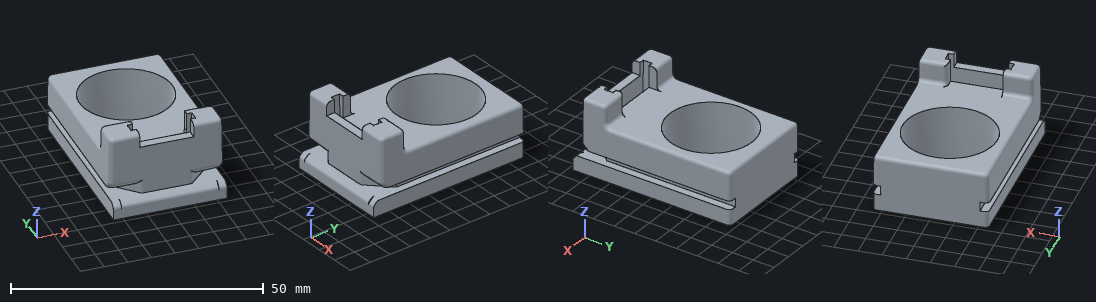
import cadquery as cq
import math

LENGTH = 38.0
HEIGHT = 17.4
ROUND = 1.0
CHAMFER = 1.0
REACH = 1.9
TOLERANCE = 0.05
WALL_DRAFT = 1.0

BASE_WIDTH = 24.05
BASE_HEIGHT = 3.7

BODY_WIDTH = 24.25
BODY_HALF_WIDTH = BODY_WIDTH / 2
BODY_FRONT = 2.0
BLOCK_DEPTH = 6.0
BLOCK_REAR = BODY_FRONT + BLOCK_DEPTH
SLAB_TOP = 12.4

SLOT_HEIGHT = 2.0
SLOT_TOP = BASE_HEIGHT + SLOT_HEIGHT
SLOT_DRAFT = 1.5
NECK_HALF_WIDTH = 10.3
STEM_HALF_WIDTH = 5.3

NOTCH_HALF_WIDTH = 5.7
NOTCH_DEPTH = 3.0
NOTCH_FLOOR = HEIGHT - NOTCH_DEPTH
WALL_THICKNESS = 2.0
GROOVE_FRONT = BODY_FRONT + WALL_THICKNESS
GROOVE_GAP = 2.1
GROOVE_REAR = GROOVE_FRONT + GROOVE_GAP
GROOVE_WIDTH = 13.6
GROOVE_FLOOR = SLOT_TOP

BORE_RADIUS = 9.8
BORE_CENTER_Y = 25.0


def box(x_range, y_range, z_range):
    corner = (x_range[0], y_range[0], z_range[0])
    size = [high - low for low, high in (x_range, y_range, z_range)]
    return cq.Workplane("XY").box(*size, centered=False).translate(corner)


def tilted(solid, x, z, angle):
    """Turn a solid about a line along Y through (x, z)."""
    return solid.rotate((x, 0, z), (x, 1, z), angle)


def mirrored_pair(solid):
    return solid.union(solid.mirror("YZ"))


def near(a, b):
    return abs(a - b) < TOLERANCE


def make_base():
    """Plate with a chamfered, rounded front lip; its flanges fall away beside the neck."""
    half = BASE_WIDTH / 2
    stock = box((0, half + REACH), (0, LENGTH), (-REACH, BASE_HEIGHT))
    stock = stock.edges("<Y and >Z").chamfer(CHAMFER)
    lip_edges = [e for e in stock.edges("|X").vals() if e.Center().y < 2 * CHAMFER and e.Center().z > 0]
    stock = stock.newObject(lip_edges).fillet(ROUND)

    core = stock.intersect(box((0, NECK_HALF_WIDTH), (0, LENGTH), (-REACH, BASE_HEIGHT)))
    flange = tilted(stock, NECK_HALF_WIDTH, BASE_HEIGHT, SLOT_DRAFT)
    flange = flange.intersect(box((NECK_HALF_WIDTH, half), (0, LENGTH), (-REACH, BASE_HEIGHT)))

    outline = box((-half, half), (0, LENGTH), (0, BASE_HEIGHT)).edges("|Z and >Y").fillet(ROUND)
    return mirrored_pair(core.union(flange)).intersect(outline)


def make_neck():
    """Web joining base and body, tapering at 45 degrees to a narrow stem at the front."""
    taper_end = BODY_FRONT + NECK_HALF_WIDTH - STEM_HALF_WIDTH
    right_side = [
        (STEM_HALF_WIDTH, BODY_FRONT),
        (NECK_HALF_WIDTH, taper_end),
        (NECK_HALF_WIDTH, LENGTH),
    ]
    left_side = [(-x, y) for x, y in reversed(right_side)]
    neck = cq.Workplane("XY").polyline(right_side + left_side).close().extrude(SLOT_TOP + REACH)
    return neck.edges("|Z and <Y").fillet(ROUND)


def fillet_foot(solid):
    """Fillet the inside corner where the rear of the block meets the slab."""
    foot = [
        e for e in solid.edges("|X").vals()
        if near(e.Center().y, BLOCK_REAR) and near(e.Center().z, SLAB_TOP)
    ]
    return solid.newObject(foot).fillet(ROUND)


def make_body():
    bottom = SLOT_TOP - REACH
    side_profile = [
        (BODY_FRONT, bottom),
        (BODY_FRONT, HEIGHT),
        (BLOCK_REAR, HEIGHT),
        (BLOCK_REAR, SLAB_TOP),
        (LENGTH, SLAB_TOP),
        (LENGTH, bottom),
    ]
    body = cq.Workplane("YZ").polyline(side_profile).close().extrude(BODY_HALF_WIDTH + REACH, both=True)

    lean = math.tan(math.radians(WALL_DRAFT))
    low_half = BODY_HALF_WIDTH + (SLOT_TOP - bottom) * lean
    high_half = BODY_HALF_WIDTH - (HEIGHT - SLOT_TOP) * lean
    cross_section = [(-low_half, bottom), (low_half, bottom), (high_half, HEIGHT), (-high_half, HEIGHT)]
    body = body.intersect(cq.Workplane("XZ").polyline(cross_section).close().extrude(-LENGTH))

    undercut_profile = [
        (BODY_FRONT - REACH, SLOT_TOP + CHAMFER + REACH),
        (BODY_FRONT + CHAMFER, SLOT_TOP),
        (LENGTH + REACH, SLOT_TOP),
        (LENGTH + REACH, bottom - REACH),
        (BODY_FRONT - REACH, bottom - REACH),
    ]
    undercut = cq.Workplane("YZ").polyline(undercut_profile).close().extrude(BODY_HALF_WIDTH + 2 * REACH)
    undercut = tilted(undercut.translate((-REACH, 0, 0)), BODY_HALF_WIDTH, SLOT_TOP, -SLOT_DRAFT)
    body = body.cut(mirrored_pair(undercut))

    body = fillet_foot(body)
    return body.newObject([e for e in body.edges().vals() if is_rounded(e)]).fillet(ROUND)


def is_rounded(edge):
    """Outer edges of the body that are rounded: all but those bounding or crossing the underside."""
    center = edge.Center()
    on_side_wall = abs(center.x) > BODY_HALF_WIDTH - ROUND
    if on_side_wall:
        return center.z > SLOT_TOP + TOLERANCE
    if near(center.y, LENGTH):
        return near(center.z, SLAB_TOP)
    if near(center.y, BODY_FRONT):
        return center.z > SLOT_TOP
    return near(center.z, HEIGHT)


def cut_notch(body):
    notch_x = (-NOTCH_HALF_WIDTH, NOTCH_HALF_WIDTH)
    above_wall = box(notch_x, (0, GROOVE_REAR), (NOTCH_FLOOR, HEIGHT + REACH))
    behind_wall = box(notch_x, (GROOVE_FRONT, BLOCK_REAR + 2 * ROUND), (SLAB_TOP, HEIGHT + REACH))
    return body.cut(above_wall).cut(behind_wall)


def round_inner_corner(body):
    """Round the right block's rear corner facing the notch, from its top down through its foot."""
    block_y = (BLOCK_REAR - 2 * ROUND, BLOCK_REAR)
    floor_y = (block_y[0], BLOCK_REAR + 2 * ROUND)
    block = box((NOTCH_HALF_WIDTH, NOTCH_HALF_WIDTH + 2 * ROUND), block_y, (SLAB_TOP, HEIGHT + REACH))
    floor = box((0, NOTCH_HALF_WIDTH + 2 * ROUND), floor_y, (SLAB_TOP - REACH, SLAB_TOP))
    square = fillet_foot(block.union(floor))
    corner = [
        e for e in square.edges().vals()
        if near(e.Center().x, NOTCH_HALF_WIDTH) and e.Center().y > BLOCK_REAR - TOLERANCE
    ]
    rounded = square.newObject(corner).fillet(ROUND)
    return body.cut(square.cut(rounded))


def cut_groove(body):
    """Groove for a plate; its end walls lean together going down."""
    lean = math.tan(math.radians(WALL_DRAFT))
    top_half = GROOVE_WIDTH / 2
    floor_half = top_half - (HEIGHT - GROOVE_FLOOR) * lean
    end_profile = [
        (-floor_half, GROOVE_FLOOR),
        (floor_half, GROOVE_FLOOR),
        (top_half, HEIGHT),
        (-top_half, HEIGHT),
    ]
    groove = cq.Workplane("XZ", origin=(0, GROOVE_FRONT, 0)).polyline(end_profile).close()
    return body.cut(groove.extrude(GROOVE_FRONT - GROOVE_REAR))


def make_bore():
    """Tapered tool for the round opening that passes through the whole part."""
    bore = cq.Workplane("XY", origin=(0, BORE_CENTER_Y, SLAB_TOP)).circle(BORE_RADIUS)
    return bore.extrude(-SLAB_TOP, taper=WALL_DRAFT)


body = round_inner_corner(cut_notch(make_body()))
part = make_base().union(make_neck()).union(body)
result = cut_groove(part).cut(make_bore())